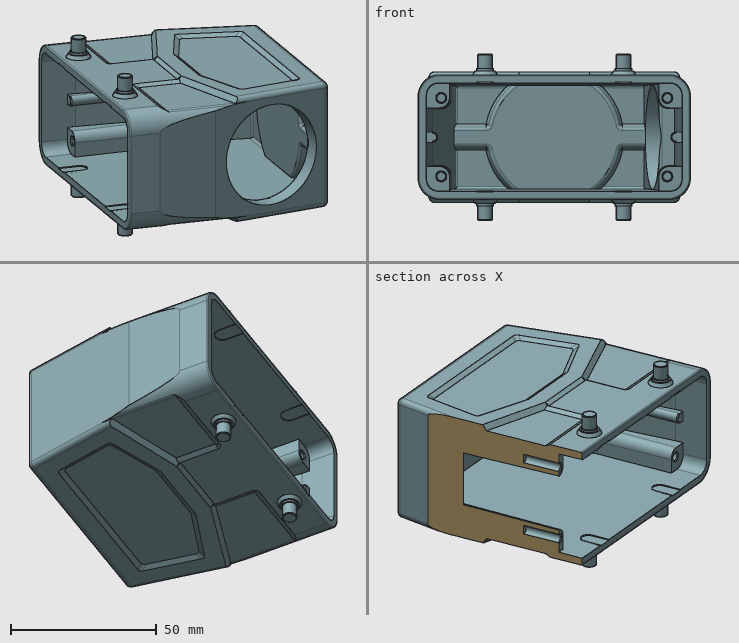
import cadquery as cq
import math


mouth_width = 93.5
mouth_height = 42.8
mouth_corner_radius = 7.5
mouth_edge_radius = 0.5
depth = 76.0
panel_height = 44.9
collar_depth = 10.8
crease_depth = 31.9
crease_width = 89.2
back_width = 72.2
edge_radius = 1.9

panel_nose_half_width = 12.2
panel_nose_y = 30.9
panel_shoulder_half_width = 42.7
panel_shoulder_y = 41.1
panel_wall_run = 1.5

pad_floor_z = 20.5
pad_wall_run = 1.9
pad_inner_x = 14.2
pad_front_y = 14.7
pad_back_y = 46.75
pad_edge_radius = 1.9

label_depth = 1.1
label_wall_run = 1.8
label_corner_radius = 2.8
label_back_y = 68.1
label_back_half_width = 29.5
label_side_y = 45.0
label_side_half_width = 34.1
label_front_y = 36.9
label_front_half_width = 12.8

wall = 2.8
cavity_height = 37.2
cavity_corner_radius = 4.2
cavity_draft = 0.7
cavity_depth = depth - wall

floor_pad_height = 2.8
floor_pad_radius = 23.8
floor_pad_rib_width = 9.0
floor_pad_wall_run = 1.3
floor_pad_corner_radius = 1.4
floor_edge_radius = 0.8

entry_wall_y = 34.6
entry_wall_front_x = 36.2
entry_wall_back_x = 30.9
entry_wall_edge_radius = 0.9
entry_radius = 17.95
entry_y = 52.4
entry_start_gap = 1.9
entry_cut_length = 23.4

post_front_y = 9.35
post_inner_x = 36.0
post_inner_z = 10.1
post_corner_radius = 3.3
screw_x = 38.8
screw_z = 13.5
screw_radius = 1.5
screw_depth = 14.0
screw_chamfer = 0.4
rib_x = 41.8
rib_radius = 1.8
rib_chamfer = 0.4

stud_x = 23.75
stud_y = 6.3
stud_radius = 2.5
stud_tip_z = 28.5
stud_chamfer = 0.3
stud_foot_radius = 4.3
stud_neck_radius = 2.9
stud_shoulder_radius = 3.5
stud_foot_height = 1.3
stud_neck_height = 2.15

slot_width = 5.4
slot_end_y = 9.35
slot_depth = 0.3

mouth_z = mouth_height / 2
panel_z = panel_height / 2
beyond = mouth_width
side_slope = (crease_width - back_width) / 2 / (depth - crease_depth)


def both_sides(solid):
    """The solid together with its mirror image about z = 0."""
    return solid.union(solid.mirror("XY"))


def from_mouth(y):
    """Workplane at depth y whose local axes are X and Z and whose normal is +Y."""
    return cq.Workplane(cq.Plane(origin=(0, y, 0), xDir=(-1, 0, 0), normal=(0, 1, 0)))


def wall_angle(run, rise):
    """Taper angle of a wall that moves sideways by run over a height of rise."""
    return math.degrees(math.atan2(run, rise))


def half_plan(inset, end):
    """Half of the plan outline on the +X side, inset from the outer sides, from the mouth to y = end."""
    end_x = back_width / 2 + side_slope * (depth - end) - inset
    return [
        (mouth_width / 2 - inset, 0),
        (mouth_width / 2 - inset, collar_depth),
        (crease_width / 2 - inset, crease_depth),
        (end_x, end),
    ]


def plan_block(inset, end, height):
    """Symmetric plan outline extruded to both sides of z = 0."""
    right = half_plan(inset, end)
    left = [(-x, y) for x, y in reversed(right)]
    return cq.Workplane("XY").polyline(right + left).close().extrude(height / 2, both=True)


def make_hull():
    """Limit of the shell: tapered plan with rounded edges at the sides and the back."""
    hull = plan_block(0, depth, panel_height)
    past_crease = (crease_depth + depth) / 2 - edge_radius
    rounded = cq.selectors.BoxSelector((-beyond, past_crease, -beyond), (beyond, beyond, beyond))
    return hull.edges(rounded).fillet(edge_radius)


def make_sleeve():
    """Rounded tube outline that runs from the mouth to the back."""
    sleeve = from_mouth(0).rect(mouth_width, mouth_height).extrude(depth)
    sleeve = sleeve.edges("|Y").fillet(mouth_corner_radius)
    return sleeve.faces("<Y").edges().fillet(mouth_edge_radius)


def make_pad_cut(side):
    """Sunken pad with sloping walls on one side of the panel nose."""
    rise = mouth_z - pad_floor_z
    pad = (
        cq.Workplane("XY", origin=(0, 0, pad_floor_z))
        .moveTo(side * pad_inner_x, pad_front_y)
        .lineTo(side * beyond, pad_front_y)
        .lineTo(side * beyond, pad_back_y)
        .lineTo(side * pad_inner_x, pad_back_y)
        .close()
        .extrude(rise, taper=-wall_angle(pad_wall_run, rise))
    )
    return pad


def make_sleeve_with_pads():
    """Sleeve with its four pads, each rounded where its floor meets the sleeve's round corner."""
    sleeve = make_sleeve()
    for side in (-1, 1):
        sleeve = sleeve.cut(both_sides(make_pad_cut(side)))
    corner_x = mouth_width / 2 - mouth_corner_radius
    corner_z = mouth_z - mouth_corner_radius
    reach_x = math.sqrt(mouth_corner_radius**2 - (pad_floor_z - corner_z) ** 2)
    pad_middle_y = (pad_front_y + pad_back_y) / 2
    for x in (-corner_x - reach_x, corner_x + reach_x):
        for z in (-pad_floor_z, pad_floor_z):
            outer_edge = cq.selectors.NearestToPointSelector((x, pad_middle_y, z))
            sleeve = sleeve.edges(outer_edge).fillet(pad_edge_radius)
    return sleeve


def make_panel():
    """Raised panel with a sloping front wall; its sides reach past the hull that trims them."""
    slope = (panel_shoulder_y - panel_nose_y) / (panel_shoulder_half_width - panel_nose_half_width)
    far_y = panel_nose_y + slope * (beyond - panel_nose_half_width)
    height = panel_z - pad_floor_z
    outline = [
        (panel_nose_half_width, panel_nose_y),
        (beyond, far_y),
        (beyond, 2 * beyond),
        (-beyond, 2 * beyond),
        (-beyond, far_y),
        (-panel_nose_half_width, panel_nose_y),
    ]
    panel = (
        cq.Workplane("XY", origin=(0, 0, panel_z))
        .polyline(outline)
        .close()
        .extrude(-height, taper=-wall_angle(panel_wall_run, height))
    )
    nose = (
        cq.Workplane("YZ")
        .moveTo(panel_nose_y, panel_z)
        .lineTo(panel_nose_y, pad_floor_z)
        .lineTo(panel_nose_y - panel_wall_run, pad_floor_z)
        .lineTo(panel_nose_y - panel_wall_run, mouth_z)
        .close()
        .extrude(panel_nose_half_width, both=True)
    )
    return panel.union(nose)


def make_label_cut():
    """Six-sided label recess with rounded corners and sloping walls."""
    right = [
        (label_front_half_width, label_front_y),
        (label_side_half_width, label_side_y),
        (label_back_half_width, label_back_y),
    ]
    left = [(-x, y) for x, y in reversed(right)]
    recess = (
        cq.Workplane("XY", origin=(0, 0, panel_z))
        .polyline(right + left)
        .close()
        .extrude(-label_depth, taper=wall_angle(label_wall_run, label_depth))
    )
    corners = cq.selectors.BoxSelector(
        (-beyond, label_side_y - label_wall_run, 0), (beyond, beyond, beyond)
    )
    sloping_corners = recess.edges(corners).edges("not #Z")
    return sloping_corners.fillet(label_corner_radius)


def make_cavity():
    """Drafted cavity that follows the outer taper, less the raised pad on its floor."""
    cavity = (
        from_mouth(0)
        .sketch()
        .rect(mouth_width - 2 * wall, cavity_height)
        .vertices()
        .fillet(cavity_corner_radius)
        .finalize()
        .extrude(cavity_depth, taper=cavity_draft)
    )
    cavity = cavity.intersect(plan_block(wall, cavity_depth, panel_height))
    cavity = cavity.faces(">Y").edges().fillet(floor_edge_radius)
    taper = wall_angle(floor_pad_wall_run, floor_pad_height)
    floor = from_mouth(cavity_depth)
    pad = (
        floor.sketch()
        .circle(floor_pad_radius)
        .rect(2 * mouth_width, floor_pad_rib_width)
        .clean()
        .finalize()
        .extrude(-floor_pad_height, taper=taper)
    )
    junctions = cq.selectors.BoxSelector(
        (-floor_pad_radius, 0, -floor_pad_rib_width),
        (floor_pad_radius, cavity_depth - floor_edge_radius, floor_pad_rib_width),
    )
    pad = pad.edges(junctions).fillet(floor_pad_corner_radius)
    pad = pad.faces("<Y").edges().fillet(floor_edge_radius)
    return cavity.cut(pad)


def make_entry_wall():
    """Wedge that thickens the +X wall around the cable entry."""
    return (
        cq.Workplane("XY")
        .moveTo(entry_wall_front_x, entry_wall_y)
        .lineTo(beyond, entry_wall_y)
        .lineTo(beyond, cavity_depth)
        .lineTo(entry_wall_back_x, cavity_depth)
        .close()
        .extrude(panel_z, both=True)
        .edges(cq.selectors.NearestToPointSelector((entry_wall_front_x, entry_wall_y, 0)))
        .fillet(entry_wall_edge_radius)
    )


def make_entry_hole():
    """Round cable entry square to the sloping +X side."""
    wall_slope = (entry_wall_front_x - entry_wall_back_x) / (cavity_depth - entry_wall_y)
    wall_x = entry_wall_back_x + wall_slope * (cavity_depth - entry_y)
    start = (wall_x - entry_start_gap, entry_y - side_slope * entry_start_gap, 0)
    plane = cq.Plane(origin=start, xDir=(0, 0, 1), normal=(1, side_slope, 0))
    return cq.Workplane(plane).circle(entry_radius).extrude(entry_cut_length)


def make_post(x_side, z_side):
    """Corner post for a screw, running to the cavity floor."""
    corner = post_corner_radius
    post = (
        cq.Workplane("XZ", origin=(0, post_front_y, 0))
        .moveTo(post_inner_x + corner, post_inner_z)
        .lineTo(beyond, post_inner_z)
        .lineTo(beyond, beyond)
        .lineTo(post_inner_x, beyond)
        .lineTo(post_inner_x, post_inner_z + corner)
        .radiusArc((post_inner_x + corner, post_inner_z), -corner)
        .close()
        .extrude(post_front_y - cavity_depth, taper=-cavity_draft)
    )
    if x_side < 0:
        post = post.mirror("YZ")
    if z_side < 0:
        post = post.mirror("XY")
    return post


def make_screw_hole(x_side, z_side):
    """Blind screw hole with a chamfered mouth."""
    hole = cq.Workplane("XZ", origin=(x_side * screw_x, post_front_y, z_side * screw_z))
    bore = hole.circle(screw_radius).extrude(-screw_depth)
    lead_in = hole.circle(screw_radius + screw_chamfer).extrude(-screw_chamfer, taper=45)
    return bore.union(lead_in)


def make_guide_rib(x_side):
    """Round-nosed rib along the middle of an end wall."""
    length = cavity_depth - post_front_y
    nose = from_mouth(post_front_y).center(-x_side * rib_x, 0).circle(rib_radius).extrude(length)
    nose = nose.faces("<Y").chamfer(rib_chamfer)
    web_width = mouth_width - rib_x
    web_x = -x_side * (rib_x + web_width / 2)
    web = from_mouth(post_front_y).center(web_x, 0).rect(web_width, 2 * rib_radius).extrude(length)
    return nose.union(web)


def make_stud(x):
    """Locking stud on a conical foot, standing on the +Z face."""
    foot_z = mouth_z + stud_foot_height
    neck_z = mouth_z + stud_neck_height
    root_z = mouth_z - slot_depth
    profile = [
        (0, root_z),
        (stud_foot_radius, root_z),
        (stud_foot_radius, mouth_z),
        (stud_shoulder_radius, foot_z),
        (stud_neck_radius, foot_z),
        (stud_neck_radius, neck_z),
        (stud_radius, neck_z),
        (stud_radius, stud_tip_z - stud_chamfer),
        (stud_radius - stud_chamfer, stud_tip_z),
        (0, stud_tip_z),
    ]
    stud = cq.Workplane("XZ").polyline(profile).close().revolve(360, (0, 0, 0), (0, 1, 0))
    return stud.translate((x, stud_y, 0))


def make_slot(x):
    """Shallow round-ended slot from the mouth into the +Z cavity wall."""
    straight = slot_end_y - slot_width / 2
    return (
        cq.Workplane("XY")
        .moveTo(x - slot_width / 2, 0)
        .lineTo(x + slot_width / 2, 0)
        .lineTo(x + slot_width / 2, straight)
        .threePointArc((x, slot_end_y), (x - slot_width / 2, straight))
        .close()
        .extrude(cavity_height / 2 + slot_depth)
    )


shell = make_sleeve_with_pads()
shell = shell.union(both_sides(make_panel()))
shell = shell.intersect(make_hull())
shell = shell.cut(both_sides(make_label_cut()))

cavity = make_cavity().cut(make_entry_wall())
for x_side in (-1, 1):
    cavity = cavity.cut(make_guide_rib(x_side))
    for z_side in (-1, 1):
        cavity = cavity.cut(make_post(x_side, z_side))
for x in (-stud_x, stud_x):
    cavity = cavity.union(both_sides(make_slot(x)))
result = shell.cut(cavity).cut(make_entry_hole())

for x_side in (-1, 1):
    for z_side in (-1, 1):
        result = result.cut(make_screw_hole(x_side, z_side))
for x in (-stud_x, stud_x):
    result = result.union(both_sides(make_stud(x)))